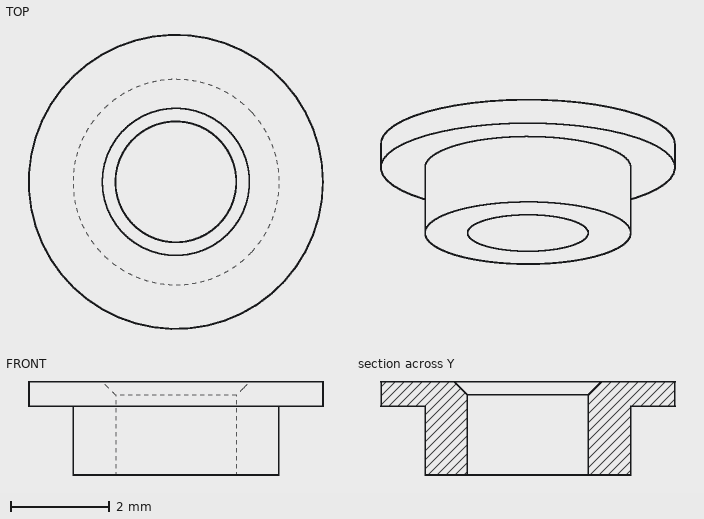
import cadquery as cq

flange_diameter = 6
flange_thickness = 0.505
sleeve_diameter = 4.2
total_height = 1.9
bore_diameter = 2.46
countersink_diameter = 3
countersink_depth = (countersink_diameter - bore_diameter) / 2

sleeve_length = total_height - flange_thickness
sleeve = cq.Workplane("XY").circle(sleeve_diameter / 2).extrude(sleeve_length)

body = sleeve.faces(">Z").workplane().circle(flange_diameter / 2).extrude(flange_thickness)

bored_body = body.faces(">Z").workplane().hole(bore_diameter)

bore_rim = cq.selectors.RadiusNthSelector(0)
result = bored_body.faces(">Z").edges(bore_rim).chamfer(countersink_depth)